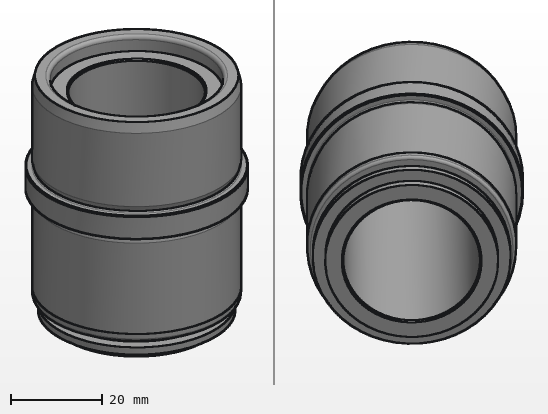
import cadquery as cq
import math

total_height = 59.7
housing_bottom = 5.7

body_diameter = 46.0
lead_diameter = 45.95
groove_diameter = 45.4
collar_diameter = 49.0

collar_bottom = 31.7
collar_top = 37.55
collar_chamfer = 0.25
groove_fillet = 0.35
taper_angle = math.radians(15)

top_chamfer_height = 2.45
lead_length = 1.95
bottom_fillet = 0.7
mouth_fillet = 0.95

sleeve_diameter = 38.0
sleeve_bore_diameter = 30.0
sleeve_bore_chamfer = 0.35
recess_depth = 3.75
sleeve_height = total_height - recess_depth

flange_diameter = 43.5
flange_bottom = 1.9
flange_thickness = 1.8


def revolve_profile(profile):
    """Turn a closed radius-height outline about the Z axis."""
    return profile.close().revolve(360, (0, 0, 0), (0, 1, 0))


def make_housing():
    """Collared outer bush with a plain through bore."""
    bore_radius = sleeve_diameter / 2
    body_radius = body_diameter / 2
    lead_radius = lead_diameter / 2
    groove_radius = groove_diameter / 2
    collar_radius = collar_diameter / 2

    top_radius = body_radius - top_chamfer_height * math.tan(taper_angle)
    groove_taper = (body_radius - groove_radius) / math.tan(taper_angle)
    lower_groove_floor = collar_bottom - groove_fillet
    upper_groove_floor = collar_top + groove_fillet
    fillet_middle = bottom_fillet * math.sqrt(0.5)
    groove_middle = groove_fillet * (1 - math.sqrt(0.5))
    mouth_middle = mouth_fillet * (1 - math.sqrt(0.5))

    return revolve_profile(
        cq.Workplane("XZ")
        .moveTo(bore_radius, housing_bottom)
        .lineTo(lead_radius - bottom_fillet, housing_bottom)
        .threePointArc(
            (lead_radius - bottom_fillet + fillet_middle, housing_bottom + bottom_fillet - fillet_middle),
            (lead_radius, housing_bottom + bottom_fillet),
        )
        .lineTo(lead_radius, housing_bottom + lead_length)
        .lineTo(body_radius, housing_bottom + lead_length)
        .lineTo(body_radius, lower_groove_floor - groove_taper)
        .lineTo(groove_radius, lower_groove_floor)
        .threePointArc(
            (groove_radius + groove_middle, collar_bottom - groove_middle),
            (groove_radius + groove_fillet, collar_bottom),
        )
        .lineTo(collar_radius - collar_chamfer, collar_bottom)
        .lineTo(collar_radius, collar_bottom + collar_chamfer)
        .lineTo(collar_radius, collar_top - collar_chamfer)
        .lineTo(collar_radius - collar_chamfer, collar_top)
        .lineTo(groove_radius + groove_fillet, collar_top)
        .threePointArc(
            (groove_radius + groove_middle, collar_top + groove_middle),
            (groove_radius, upper_groove_floor),
        )
        .lineTo(body_radius, upper_groove_floor + groove_taper)
        .lineTo(body_radius, total_height - top_chamfer_height)
        .lineTo(top_radius, total_height)
        .lineTo(bore_radius + mouth_fillet, total_height)
        .threePointArc(
            (bore_radius + mouth_middle, total_height - mouth_middle),
            (bore_radius, total_height - mouth_fillet),
        )
    )


def make_sleeve():
    """Inner tube with a retaining flange below the housing."""
    inner_radius = sleeve_bore_diameter / 2
    outer_radius = sleeve_diameter / 2
    flange_radius = flange_diameter / 2
    flange_top = flange_bottom + flange_thickness

    return revolve_profile(
        cq.Workplane("XZ")
        .moveTo(inner_radius + sleeve_bore_chamfer, 0)
        .lineTo(outer_radius, 0)
        .lineTo(outer_radius, flange_bottom)
        .lineTo(flange_radius, flange_bottom)
        .lineTo(flange_radius, flange_top)
        .lineTo(outer_radius, flange_top)
        .lineTo(outer_radius, sleeve_height)
        .lineTo(inner_radius + sleeve_bore_chamfer, sleeve_height)
        .lineTo(inner_radius, sleeve_height - sleeve_bore_chamfer)
        .lineTo(inner_radius, sleeve_bore_chamfer)
    )


housing = make_housing()
sleeve = make_sleeve()

result = cq.Compound.makeCompound([housing.val(), sleeve.val()])